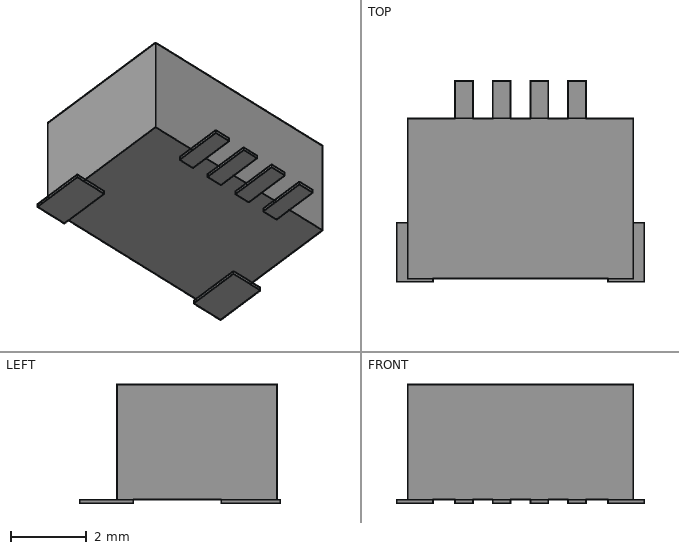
import cadquery as cq

total_width = 6.56
total_depth = 5.32
total_height = 3.15

terminal_thickness = 0.1
pin_count = 4
pin_pitch = 1.0
pin_width = 0.48
pin_length = 1.425
tab_width = 0.965
tab_length = 1.57

housing_width = 5.98
housing_depth = 4.245
tab_front_overhang = 0.085

tab_front_y = -total_depth / 2
pin_back_y = total_depth / 2
housing_front_y = tab_front_y + tab_front_overhang


def block(width, depth, height, center_x, front_y, bottom_z):
    """Box centred on center_x, reaching back from front_y and up from bottom_z."""
    return (
        cq.Workplane("XY")
        .box(width, depth, height, centered=(True, False, False))
        .translate((center_x, front_y, bottom_z))
    )


def make_housing():
    """Plain block resting on top of all the terminals."""
    height = total_height - terminal_thickness
    return block(housing_width, housing_depth, height, 0, housing_front_y, terminal_thickness)


def make_pin(center_x):
    """Contact pin sticking out behind the housing."""
    front_y = pin_back_y - pin_length
    return block(pin_width, pin_length, terminal_thickness, center_x, front_y, 0)


def make_tab(side):
    """Mounting tab at a front corner; side is -1 for left and +1 for right."""
    center_x = side * (total_width - tab_width) / 2
    return block(tab_width, tab_length, terminal_thickness, center_x, tab_front_y, 0)


housing = make_housing()

pins = []
for index in range(pin_count):
    pin_x = (index - (pin_count - 1) / 2) * pin_pitch
    pins.append(make_pin(pin_x).val())

tabs = []
for side in (-1, 1):
    tabs.append(make_tab(side).val())

result = cq.Compound.makeCompound([housing.val(), *pins, *tabs])